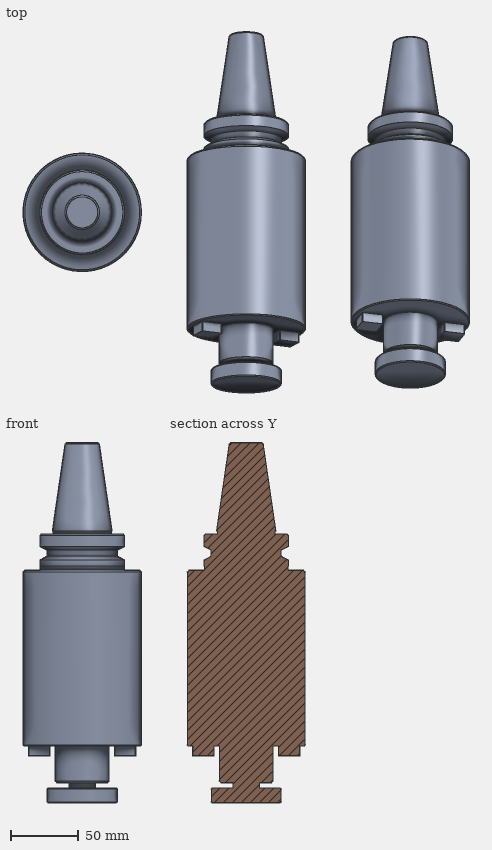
import cadquery as cq

total_height = 267.5
gauge_height = 202.0
flange_top = 199.7
groove_top = 190.5
groove_floor_top = 187.7
groove_floor_bottom = 183.2
groove_bottom = 180.2
flange_bottom = 176.0
body_top = 172.7
body_bottom = 42.2
pilot_bottom = 15.0
head_top = 11.2

gauge_radius = 44.5 / 2
relief_radius = 21.7
flange_radius = 63.0 / 2
groove_radius = 26.2
collar_radius = 31.3
body_radius = 88.0 / 2
pilot_radius = 40.0 / 2
neck_radius = 10.0
head_radius = 52.1 / 2

taper_slope = 7 / 48
shank_tip_radius = gauge_radius - taper_slope * (total_height - gauge_height)

tip_chamfer = 1.0
flange_chamfer = 1.3
body_chamfer = 1.3
body_bottom_chamfer = 0.8
pilot_chamfer = 1.3
head_chamfer = 0.8

key_inner = 23.8
key_outer = 39.8
key_width = 16.0
key_drop = 7.2
key_chamfer = 0.5


def cylinder(radius, bottom, top):
    """Round section on the Z axis between two heights."""
    return cq.Workplane("XY").workplane(offset=bottom).circle(radius).extrude(top - bottom)


def make_shank():
    """Tapered shank with a narrow relief between it and the flange."""
    taper = (
        cq.Workplane("XZ")
        .moveTo(0, gauge_height)
        .lineTo(gauge_radius, gauge_height)
        .lineTo(shank_tip_radius, total_height)
        .lineTo(0, total_height)
        .close()
        .revolve(360, (0, 0, 0), (0, 1, 0))
        .faces(">Z").chamfer(tip_chamfer)
    )
    return taper.union(cylinder(relief_radius, flange_top, gauge_height))


def make_flange():
    """Tool-changer flange with its V-groove, and the collar below it."""
    flange = cylinder(flange_radius, flange_bottom, flange_top).faces(">Z").chamfer(flange_chamfer)
    groove = (
        cq.Workplane("XZ")
        .moveTo(flange_radius, groove_top)
        .lineTo(groove_radius, groove_floor_top)
        .lineTo(groove_radius, groove_floor_bottom)
        .lineTo(flange_radius, groove_bottom)
        .close()
        .revolve(360, (0, 0, 0), (0, 1, 0))
    )
    return flange.cut(groove).union(cylinder(collar_radius, body_top, flange_bottom))


def make_body():
    """Large cylindrical body, chamfered at both ends."""
    body = cylinder(body_radius, body_bottom, body_top)
    return body.faces(">Z").chamfer(body_chamfer).faces("<Z").chamfer(body_bottom_chamfer)


def make_pilot_and_screw():
    """Cutter pilot, with the neck and round head of the clamping screw."""
    pilot = cylinder(pilot_radius, pilot_bottom, body_bottom).faces("<Z").chamfer(pilot_chamfer)
    neck = cylinder(neck_radius, head_top, pilot_bottom)
    head = cylinder(head_radius, 0, head_top).faces("<Z or >Z").chamfer(head_chamfer)
    return pilot.union(neck).union(head)


def make_key(side):
    """Drive key under the body, on the +X (side = 1) or -X (side = -1) side."""
    return (
        cq.Workplane("XY")
        .workplane(offset=body_bottom - key_drop)
        .center(side * (key_inner + key_outer) / 2, 0)
        .rect(key_outer - key_inner, key_width)
        .extrude(key_drop)
        .edges("|Z").chamfer(key_chamfer)
    )


result = make_shank().union(make_flange()).union(make_body()).union(make_pilot_and_screw())
for side in (-1, 1):
    result = result.union(make_key(side))